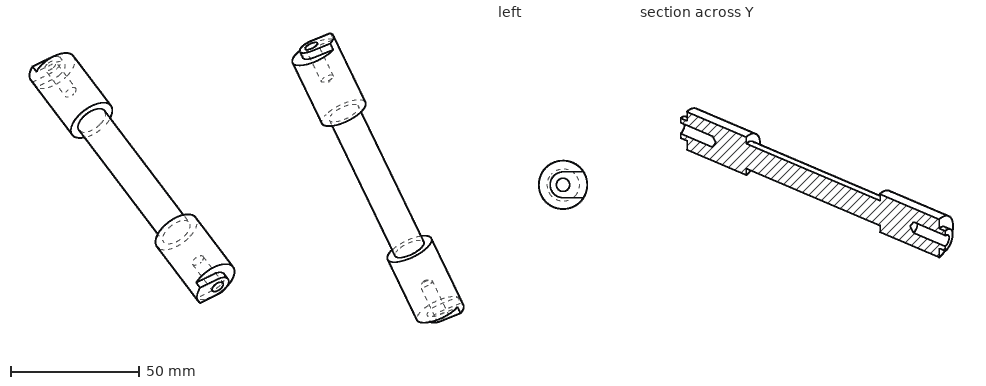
import cadquery as cq
import math

total_length = 125.8
collar_diameter = 19.0
shaft_diameter = 12.6
shaft_length = 63.4
tang_length = 2.9
tang_width = 10.1
hole_diameter = 5.2
hole_depth = 15.1
drill_point_angle = 118

half_length = total_length / 2
collar_length = (total_length - shaft_length) / 2 - tang_length
collar_start = shaft_length / 2
collar_end = collar_start + collar_length


def cylinder_along_x(diameter, start, length):
    return cq.Workplane("YZ").workplane(offset=start).circle(diameter / 2).extrude(length)


def make_tang():
    """Tongue with a round +Y end, running out to the collar surface on -Y."""
    half_width = tang_width / 2
    collar_radius = collar_diameter / 2
    tongue = (
        cq.Workplane("YZ")
        .workplane(offset=collar_end)
        .moveTo(-collar_radius, -half_width)
        .lineTo(0, -half_width)
        .threePointArc((half_width, 0), (0, half_width))
        .lineTo(-collar_radius, half_width)
        .close()
        .extrude(tang_length)
    )
    return tongue.intersect(cylinder_along_x(collar_diameter, collar_end, tang_length))


def make_centre_hole():
    """Blind hole in the tang face with a conical drill point."""
    radius = hole_diameter / 2
    point_length = radius / math.tan(math.radians(drill_point_angle / 2))
    hole_bottom = half_length - hole_depth
    return (
        cq.Workplane("XY")
        .moveTo(half_length, 0)
        .lineTo(half_length, radius)
        .lineTo(hole_bottom, radius)
        .lineTo(hole_bottom - point_length, 0)
        .close()
        .revolve(360, (0, 0, 0), (1, 0, 0))
    )


def make_end():
    """Collar and tang at the +X end."""
    return cylinder_along_x(collar_diameter, collar_start, collar_length).union(make_tang())


shaft = cylinder_along_x(shaft_diameter, -collar_start, shaft_length)
right_end = make_end()
right_hole = make_centre_hole()

result = (
    shaft.union(right_end)
    .union(right_end.mirror("YZ"))
    .cut(right_hole)
    .cut(right_hole.mirror("YZ"))
)